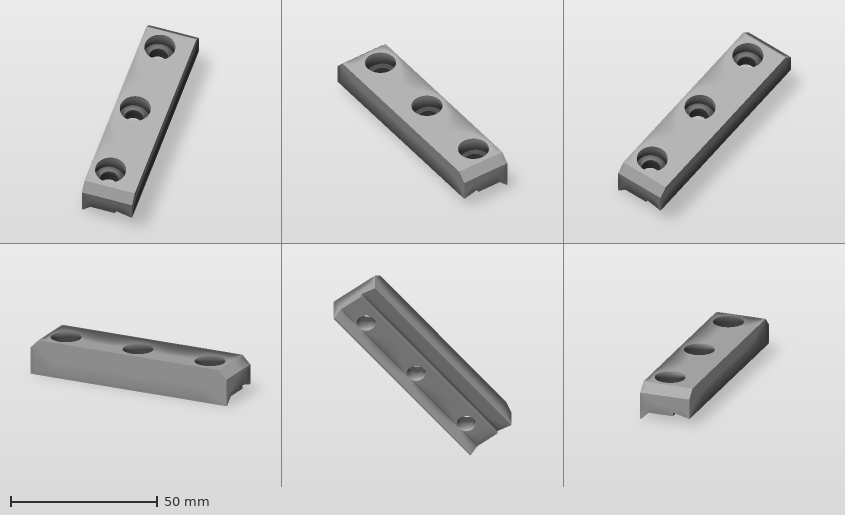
import cadquery as cq
import math

length = 75.0
width = 18.0
height = 12.6
end_chamfer = 3.0

seat_depth = 10.0
lip_tip_width = 0.45
notch_x = 12.0
notch_depth = 8.7
notch_flat = 0.4
notch_slope = 15.0

hole_x = 7.1
hole_spacing = 27.5
hole_tilt = 5.0
bore_diameter = 6.45
counterbore_diameter = 10.6
counterbore_depth = 5.5
cutter_overrun = 3.75


def bar():
    """Extrude the cross-section along Y, with its top face at Z = 0."""
    lip_drop = height - seat_depth
    slope = math.tan(math.radians(notch_slope))
    slope_start_x = notch_x + notch_flat
    outer_depth = notch_depth + (width - slope_start_x) * slope
    return (
        cq.Workplane("XZ")
        .moveTo(0, 0)
        .lineTo(0, -height)
        .lineTo(lip_tip_width, -height)
        .lineTo(lip_tip_width + lip_drop, -seat_depth)
        .lineTo(notch_x, -seat_depth)
        .lineTo(notch_x, -notch_depth)
        .lineTo(slope_start_x, -notch_depth)
        .lineTo(width, -outer_depth)
        .lineTo(width, 0)
        .close()
        .extrude(length / 2, both=True)
        .faces(">Z")
        .edges("|X")
        .chamfer(end_chamfer)
    )


def hole_cutter(y):
    """Bore and counterbore on an axis tilted about Y."""
    tilt = math.radians(hole_tilt)
    axis = cq.Vector(-math.sin(tilt), 0, -math.cos(tilt))
    start = cq.Vector(hole_x, y, 0) - axis * cutter_overrun
    bore_length = height + 2 * cutter_overrun
    bore = cq.Solid.makeCylinder(bore_diameter / 2, bore_length, start, axis)
    counterbore = cq.Solid.makeCylinder(
        counterbore_diameter / 2, counterbore_depth + cutter_overrun, start, axis
    )
    return bore.fuse(counterbore)


result = bar()
for y in (-hole_spacing, 0, hole_spacing):
    result = result.cut(hole_cutter(y))